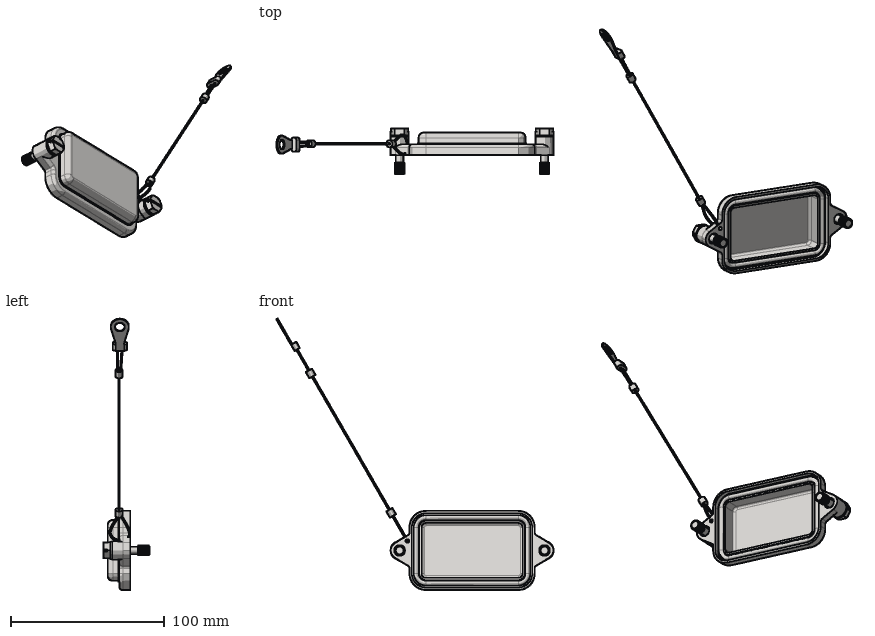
import cadquery as cq
import math

CORE_HALF_X = 30.0
CORE_HALF_Z = 15.0
FLANGE_RADIUS = 10.8
RIM_INNER_RADIUS = 9.2
SEAL_OUTER_RADIUS = 8.0
SEAL_INNER_RADIUS = 4.7
LAND_RADIUS = 4.3
DOME_RADIUS = 4.9
POCKET_RADIUS = 2.9

FLANGE_BACK = 7.2
FLANGE_FILLET = 2.2
DOME_BACK = 14.8
DOME_FILLET = 3.5
DOME_FOOT = 0.5
GROOVE_DEPTH = 4.0
LAND_DEPTH = 2.5
SEAL_CREST_DEPTH = 1.3
POCKET_FLOOR = 13.0
POCKET_FILLET = 1.6

BOLT_X = 47.2
LUG_RADIUS = 6.0
LUG_SLOPE = math.radians(30)
LUG_CORNER_FILLET = 1.8
BOSS_BACK = 12.0
BOLT_HOLE_DIAMETER = 7.0

COLLAR_RADIUS = 5.8
HEAD_FRONT = 13.0
HEAD_BACK = 17.5
HEAD_CORNERS = 12.1
HEAD_CHAMFER = 0.5
SLOT_WIDTH = 1.0
SLOT_DEPTH = 2.2
SHANK_RADIUS = 2.5
THREAD_RADIUS = 3.3
THREAD_START = -4.7
BOLT_TIP = -12.5
THREAD_TURNS = 8

LUG_HOLE_X = -42.1
LUG_HOLE_Z = 6.1
LUG_HOLE_DIAMETER = 2.2
LANYARD_TILT = math.radians(30)
ROPE_RADIUS = 0.5
ROPE_Y = 7.4
SLEEVE_DIAMETER = 4.7
SLEEVE_LENGTH = 4.7
LOWER_SLEEVE = 21.1
UPPER_SLEEVE = 126.0
STRAND_SPREAD_LOW = 0.9
STRAND_SPREAD_HIGH = 1.6
LOOP_BENDS = [(12.8, 8.7), (13.2, 6.0), (11.4, 2.2), (7.5, 0.4), (2.9, 0.4), (0.7, 4.0), (1.3, 9.0)]
TAG_Y = 6.9
TAG_CRIMP_START = 143.8
TAG_CRIMP_WIDTH = 9.4
TAG_CRIMP_THICKNESS = 3.8
TAG_CRIMP_OFFSET = 0.4
TAG_FRONT = -1.8
TAG_THICKNESS = 1.0
TAG_RING_CENTRE = 161.7
TAG_RING_RADIUS = 6.0
TAG_HOLE_DIAMETER = 6.3
TAG_NECK_HALF = 2.7
TAG_NECK_END = 149.2


def facing_back(y):
    """Workplane at height y whose extrusions run towards +Y; its local axes are -X and Z."""
    return cq.Workplane("XZ", origin=(0, y, 0)).transformed(rotate=(0, 180, 0))


def rounded_block(radius, front, back):
    """Core rectangle grown by radius, from y = front to y = back."""
    return (
        facing_back(front)
        .rect(2 * (CORE_HALF_X + radius), 2 * (CORE_HALF_Z + radius))
        .extrude(back - front)
        .edges("|Y")
        .fillet(radius)
    )


def y_cylinder(x, z, radius, front, back):
    return facing_back(front).center(-x, z).circle(radius).extrude(back - front)


def lug(side):
    """Flat lug with a round end whose straight flanks run tangent into the flange side."""
    tangent_x = BOLT_X + LUG_RADIUS * math.sin(LUG_SLOPE)
    tangent_z = LUG_RADIUS * math.cos(LUG_SLOPE)
    root_z = tangent_z + (tangent_x - CORE_HALF_X) * math.tan(LUG_SLOPE)
    return (
        facing_back(0)
        .moveTo(-side * CORE_HALF_X, root_z)
        .lineTo(-side * tangent_x, tangent_z)
        .threePointArc((-side * (BOLT_X + LUG_RADIUS), 0), (-side * tangent_x, -tangent_z))
        .lineTo(-side * CORE_HALF_X, -root_z)
        .close()
        .extrude(FLANGE_BACK)
    )


def flange():
    """Flange plate with both lugs and a rounded back edge."""
    plate = rounded_block(FLANGE_RADIUS, 0, FLANGE_BACK).union(lug(-1)).union(lug(1))
    side_x = CORE_HALF_X + FLANGE_RADIUS
    margin = 0.9
    for side in (-1, 1):
        corners = cq.selectors.BoxSelector(
            (side * side_x - margin, -margin, -CORE_HALF_Z + margin),
            (side * side_x + margin, FLANGE_BACK + margin, CORE_HALF_Z - margin),
        )
        plate = plate.edges("|Y").edges(corners).fillet(LUG_CORNER_FILLET)
    return plate.faces(">Y").edges().fillet(FLANGE_FILLET)


def dome():
    shell = rounded_block(DOME_RADIUS, GROOVE_DEPTH, DOME_BACK)
    shell = shell.faces(">Y").edges().fillet(DOME_FILLET)
    foot = rounded_block(DOME_RADIUS + DOME_FOOT, GROOVE_DEPTH, FLANGE_BACK + DOME_FOOT)
    return shell.union(foot)


def seal_bead():
    """Round-topped sealing bead that stands on the groove floor."""
    bead_radius = (SEAL_OUTER_RADIUS - SEAL_INNER_RADIUS) / 2
    middle_radius = SEAL_OUTER_RADIUS - bead_radius
    crown_y = SEAL_CREST_DEPTH + bead_radius
    foot = rounded_block(SEAL_OUTER_RADIUS, crown_y, GROOVE_DEPTH)
    foot = foot.cut(rounded_block(SEAL_INNER_RADIUS, crown_y, GROOVE_DEPTH))
    path = rounded_block(middle_radius, crown_y, GROOVE_DEPTH).faces("<Y").wires()
    section = cq.Workplane("YZ", origin=(0, crown_y, CORE_HALF_Z + middle_radius))
    crown = section.circle(bead_radius).sweep(path)
    return foot.union(crown)


def land():
    """Raised land between the sealing bead and the pocket."""
    return rounded_block(LAND_RADIUS, LAND_DEPTH, GROOVE_DEPTH)


def pocket():
    block = rounded_block(POCKET_RADIUS, 0, POCKET_FLOOR)
    return block.faces(">Y").edges().fillet(POCKET_FILLET)


def make_cover(lanyard):
    cover = flange().union(dome())
    for side in (-1, 1):
        cover = cover.union(y_cylinder(side * BOLT_X, 0, LUG_RADIUS, 0, BOSS_BACK))
    cover = cover.cut(rounded_block(RIM_INNER_RADIUS, 0, GROOVE_DEPTH))
    cover = cover.union(seal_bead()).union(land()).cut(pocket())
    for side in (-1, 1):
        cover = cover.cut(y_cylinder(side * BOLT_X, 0, BOLT_HOLE_DIAMETER / 2, 0, BOSS_BACK))
    cover = cover.cut(y_cylinder(LUG_HOLE_X, LUG_HOLE_Z, LUG_HOLE_DIAMETER / 2, 0, FLANGE_BACK))
    return cover.cut(lanyard)


def make_bolt(x):
    head = (
        facing_back(HEAD_FRONT).center(-x, 0).polygon(6, HEAD_CORNERS).extrude(HEAD_BACK - HEAD_FRONT)
    )
    crown = y_cylinder(x, 0, HEAD_CORNERS / 2, HEAD_FRONT, HEAD_BACK).faces(">Y").chamfer(HEAD_CHAMFER)
    slot = cq.Workplane("XY").box(HEAD_CORNERS, 2 * SLOT_DEPTH, SLOT_WIDTH).translate((x, HEAD_BACK, 0))
    head = head.intersect(crown).cut(slot)
    collar = y_cylinder(x, 0, COLLAR_RADIUS, BOSS_BACK, HEAD_FRONT)

    pitch = (THREAD_START - BOLT_TIP) / THREAD_TURNS
    shaft = cq.Workplane("XY", origin=(x, 0, 0)).moveTo(0, BOSS_BACK)
    shaft = shaft.lineTo(SHANK_RADIUS, BOSS_BACK).lineTo(SHANK_RADIUS, THREAD_START)
    for turn in range(THREAD_TURNS):
        root_y = THREAD_START - turn * pitch
        shaft = shaft.lineTo(THREAD_RADIUS, root_y - pitch / 2)
        shaft = shaft.lineTo(SHANK_RADIUS, root_y - pitch)
    shaft = shaft.lineTo(0, BOLT_TIP).close().revolve(360, (0, 0, 0), (0, 1, 0))
    return shaft.union(collar).union(head)


ROPE_PLANE = cq.Plane(
    origin=(LUG_HOLE_X, 0, LUG_HOLE_Z),
    xDir=(0, 1, 0),
    normal=(math.cos(LANYARD_TILT), 0, math.sin(LANYARD_TILT)),
)


def across_rope(along):
    """Workplane square to the rope at the given distance from the lug hole, facing up the rope."""
    origin = ROPE_PLANE.toWorldCoords((0, along, 0))
    return cq.Workplane(cq.Plane(origin=origin, xDir=ROPE_PLANE.xDir, normal=ROPE_PLANE.yDir))


def strand(start, end):
    """Straight rope between two points of the rope plane."""
    first = ROPE_PLANE.toWorldCoords((*start, 0))
    step = ROPE_PLANE.toWorldCoords((*end, 0)) - first
    return cq.Workplane(cq.Solid.makeCylinder(ROPE_RADIUS, step.Length, first, step))


def lug_loop():
    """Rope that leaves the lower sleeve, passes through the lug hole and returns."""
    start = (ROPE_Y + STRAND_SPREAD_LOW, LOWER_SLEEVE)
    end = (ROPE_Y - STRAND_SPREAD_LOW, LOWER_SLEEVE)
    path = cq.Workplane(ROPE_PLANE).spline([start, *LOOP_BENDS, end])
    section = cq.Workplane(cq.Plane(path.val().startPoint(), ROPE_PLANE.zDir, path.val().tangentAt(0)))
    return section.circle(ROPE_RADIUS).sweep(path)


def sleeve(middle):
    start = across_rope(middle - SLEEVE_LENGTH / 2).center(ROPE_Y, 0)
    return start.circle(SLEEVE_DIAMETER / 2).extrude(SLEEVE_LENGTH)


def tag():
    """Eyelet plate with its flat crimp."""
    plate_plane = cq.Workplane(ROPE_PLANE).workplane(offset=TAG_FRONT).center(TAG_Y, 0)
    rise = TAG_RING_CENTRE - TAG_NECK_END
    flank = math.atan2(TAG_RING_RADIUS - TAG_NECK_HALF, rise)
    shoulder_x = TAG_RING_RADIUS * math.cos(flank)
    shoulder_y = TAG_RING_CENTRE - TAG_RING_RADIUS * math.sin(flank)
    plate = (
        plate_plane.moveTo(-TAG_NECK_HALF, TAG_CRIMP_START)
        .lineTo(-TAG_NECK_HALF, TAG_NECK_END)
        .lineTo(-shoulder_x, shoulder_y)
        .threePointArc((0, TAG_RING_CENTRE + TAG_RING_RADIUS), (shoulder_x, shoulder_y))
        .lineTo(TAG_NECK_HALF, TAG_NECK_END)
        .lineTo(TAG_NECK_HALF, TAG_CRIMP_START)
        .close()
        .extrude(TAG_THICKNESS)
    )
    eye = plate_plane.center(0, TAG_RING_CENTRE).circle(TAG_HOLE_DIAMETER / 2).extrude(TAG_THICKNESS)
    crimp = (
        across_rope(TAG_CRIMP_START)
        .center(TAG_Y, -TAG_CRIMP_OFFSET)
        .slot2D(TAG_CRIMP_WIDTH, TAG_CRIMP_THICKNESS)
        .extrude(SLEEVE_LENGTH)
    )
    return plate.cut(eye).union(crimp)


def make_lanyard():
    lanyard = tag().union(lug_loop())
    for side in (-1, 1):
        low = (ROPE_Y + side * STRAND_SPREAD_LOW, UPPER_SLEEVE)
        high = (TAG_Y + side * STRAND_SPREAD_HIGH, TAG_CRIMP_START + SLEEVE_LENGTH / 2)
        lanyard = lanyard.union(strand(low, high))
    lanyard = lanyard.union(strand((ROPE_Y, LOWER_SLEEVE), (ROPE_Y, UPPER_SLEEVE)))
    for middle in (LOWER_SLEEVE, UPPER_SLEEVE):
        lanyard = lanyard.union(sleeve(middle))
    return lanyard


lanyard = make_lanyard()
cover = make_cover(lanyard)
bolts = [make_bolt(side * BOLT_X) for side in (-1, 1)]

result = cq.Compound.makeCompound([cover.val(), lanyard.val(), *[bolt.val() for bolt in bolts]])